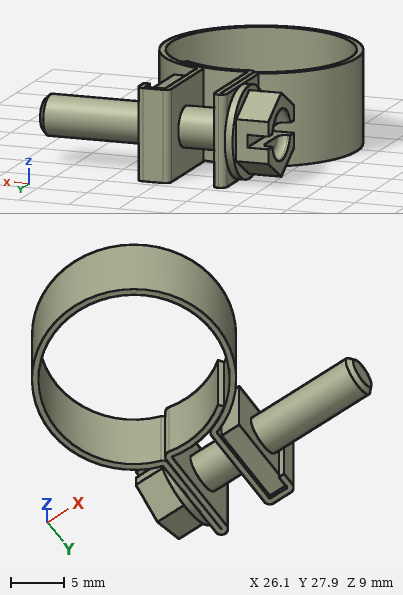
import cadquery as cq
import math


BAND_WIDTH = 9.0
BAND_THICKNESS = 0.6
RING_OUTER_RADIUS = 9.6
RING_INNER_RADIUS = RING_OUTER_RADIUS - BAND_THICKNESS
TONGUE_GAP = 0.042
TONGUE_OUTER_RADIUS = RING_INNER_RADIUS - TONGUE_GAP
TONGUE_INNER_RADIUS = TONGUE_OUTER_RADIUS - BAND_THICKNESS
TONGUE_END_ANGLE = 54
LUG_TOP = 18.3
FOLD_Y = LUG_TOP - BAND_THICKNESS
HEAD_LUG_X = -3.1
FOLD_SLIT = 0.015
NUT_LUG_X = -HEAD_LUG_X
HOOK_END_Y = 16.32

NUT_THICKNESS = 2.0
NUT_LENGTH = 7.8
NUT_WIDTH = 7.8

SHANK_DIAMETER = 4.0
SCREW_TIP_X = 16.5
TIP_CHAMFER = 0.5
FLANGE_DIAMETER = BAND_WIDTH
FLANGE_THICKNESS = 0.78
SCREW_Y = LUG_TOP - FLANGE_DIAMETER / 2
HEX_ACROSS_FLATS = 7.03
HEX_HEIGHT = 3.2
SLOT_WIDTH = 1.23
SLOT_DEPTH = 2.1
RECESS_DIAMETER = 5.0
RECESS_DEPTH = 1.0
RECESS_FILLET = 0.75
FLANGE_FACE_X = HEAD_LUG_X - FLANGE_THICKNESS
HEAD_FACE_X = FLANGE_FACE_X - HEX_HEIGHT


def polar(radius, angle):
    return (radius * math.cos(angle), radius * math.sin(angle))


def point_on_circle(radius, x):
    """Upper point of a circle about the Z axis at the given X."""
    return (x, math.sqrt(radius**2 - x**2))


def move_inward(point):
    """Move a point one band thickness towards the Z axis."""
    scale = 1 - BAND_THICKNESS / math.hypot(*point)
    return (point[0] * scale, point[1] * scale)


def bend_middle(center, start, end):
    """Middle point of a short arc of one band thickness radius."""
    toward_x = (start[0] + end[0]) / 2 - center[0]
    toward_y = (start[1] + end[1]) / 2 - center[1]
    scale = BAND_THICKNESS / math.hypot(toward_x, toward_y)
    return (center[0] + toward_x * scale, center[1] + toward_y * scale)


def add_bend(outline, center, start, end):
    """Add a straight line to start, then a bend around center to end."""
    return outline.lineTo(*start).threePointArc(bend_middle(center, start, end), end)


def screw_cylinder(diameter, start_x, end_x):
    """Cylinder on the screw axis between two X positions."""
    return (
        cq.Workplane("YZ", origin=(start_x, SCREW_Y, 0))
        .circle(diameter / 2)
        .extrude(end_x - start_x)
    )


def make_shank():
    shank = screw_cylinder(SHANK_DIAMETER, FLANGE_FACE_X, SCREW_TIP_X)
    return shank.faces(">X").chamfer(TIP_CHAMFER)


def make_band():
    layer_1_inner_x = HEAD_LUG_X + BAND_THICKNESS
    layer_2_inner_x = layer_1_inner_x + FOLD_SLIT
    layer_2_outer_x = layer_2_inner_x + BAND_THICKNESS
    nut_lug_outer_x = NUT_LUG_X - BAND_THICKNESS
    hook_inner_x = NUT_LUG_X + NUT_THICKNESS
    hook_outer_x = hook_inner_x + BAND_THICKNESS

    head_corner = point_on_circle(RING_OUTER_RADIUS, HEAD_LUG_X)
    ring_inner_end = move_inward(head_corner)
    layer_1_start = (layer_1_inner_x, head_corner[1])
    nut_corner = point_on_circle(RING_OUTER_RADIUS, NUT_LUG_X)
    tongue_corner = point_on_circle(TONGUE_OUTER_RADIUS, layer_2_outer_x)
    tongue_bend_start = (layer_2_inner_x, tongue_corner[1])
    tongue_end = math.radians(TONGUE_END_ANGLE)
    tongue_start = math.atan2(tongue_corner[1], tongue_corner[0])
    tongue_middle = (tongue_start + tongue_end) / 2

    outline = cq.Workplane("XY", origin=(0, 0, -BAND_WIDTH / 2))
    outline = outline.moveTo(*polar(TONGUE_OUTER_RADIUS, tongue_end))
    outline = outline.threePointArc(polar(TONGUE_OUTER_RADIUS, tongue_middle), tongue_corner)
    outline = add_bend(
        outline, (layer_2_inner_x, FOLD_Y), (layer_2_outer_x, FOLD_Y), (layer_2_inner_x, LUG_TOP)
    )
    outline = add_bend(outline, (layer_1_inner_x, FOLD_Y), (layer_1_inner_x, LUG_TOP), (HEAD_LUG_X, FOLD_Y))
    outline = outline.lineTo(*head_corner)

    outline = outline.threePointArc((0, -RING_OUTER_RADIUS), nut_corner)
    outline = outline.lineTo(NUT_LUG_X, FOLD_Y)
    outline = outline.lineTo(hook_inner_x, FOLD_Y)
    outline = outline.lineTo(hook_inner_x, HOOK_END_Y)
    outline = outline.lineTo(hook_outer_x, HOOK_END_Y)
    outline = add_bend(outline, (hook_inner_x, FOLD_Y), (hook_outer_x, FOLD_Y), (hook_inner_x, LUG_TOP))
    outline = add_bend(outline, (NUT_LUG_X, FOLD_Y), (NUT_LUG_X, LUG_TOP), (nut_lug_outer_x, FOLD_Y))
    outline = add_bend(outline, nut_corner, (nut_lug_outer_x, nut_corner[1]), move_inward(nut_corner))

    outline = outline.threePointArc((0, -RING_INNER_RADIUS), ring_inner_end)
    outline = outline.threePointArc(
        bend_middle(head_corner, ring_inner_end, layer_1_start), layer_1_start
    )
    outline = outline.lineTo(layer_1_inner_x, FOLD_Y)
    outline = outline.lineTo(layer_2_inner_x, FOLD_Y)
    outline = add_bend(outline, tongue_corner, tongue_bend_start, move_inward(tongue_corner))
    outline = outline.threePointArc(
        polar(TONGUE_INNER_RADIUS, tongue_middle), polar(TONGUE_INNER_RADIUS, tongue_end)
    )
    strip = outline.close().extrude(BAND_WIDTH)
    return strip.cut(make_shank())


def make_nut():
    plate = cq.Workplane("XY").box(NUT_THICKNESS, NUT_LENGTH, NUT_WIDTH)
    plate = plate.translate((NUT_LUG_X + NUT_THICKNESS / 2, FOLD_Y - NUT_LENGTH / 2, 0))
    return plate.cut(make_shank())


def make_recess():
    """Round recess with a filleted floor in the screw head."""
    recess = screw_cylinder(RECESS_DIAMETER, HEAD_FACE_X, HEAD_FACE_X + RECESS_DEPTH)
    return recess.faces(">X").edges().fillet(RECESS_FILLET)


def make_slot():
    """Screwdriver slot across the flats of the hexagon."""
    slot = cq.Workplane("XY").box(SLOT_DEPTH, HEX_ACROSS_FLATS, SLOT_WIDTH)
    return slot.translate((HEAD_FACE_X + SLOT_DEPTH / 2, SCREW_Y, 0))


def make_screw():
    hexagon = (
        cq.Workplane("YZ", origin=(HEAD_FACE_X, SCREW_Y, 0))
        .polygon(6, HEX_ACROSS_FLATS, circumscribed=True)
        .extrude(HEX_HEIGHT)
    )
    flange = screw_cylinder(FLANGE_DIAMETER, FLANGE_FACE_X, HEAD_LUG_X)
    head = hexagon.union(flange).cut(make_recess()).cut(make_slot())
    return head.union(make_shank())


band = make_band()
nut = make_nut()
screw = make_screw()

result = cq.Compound.makeCompound([band.val(), nut.val(), screw.val()])